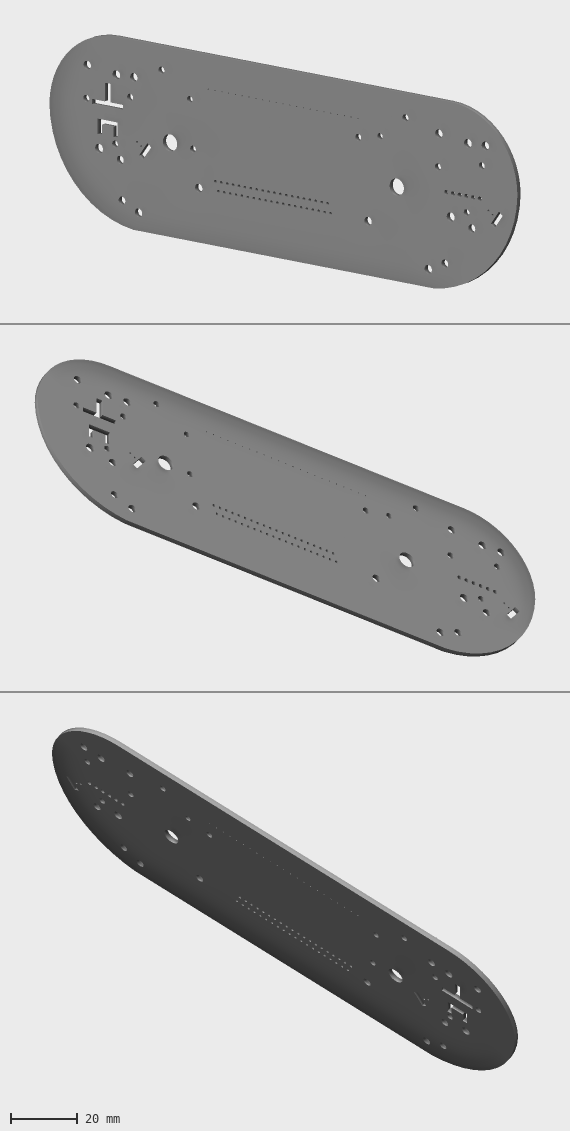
import cadquery as cq

LENGTH = 174.67
HEIGHT = 59.0
THICKNESS = 1.6
TOP_CORNER_RADIUS = 25.0
BOTTOM_CORNER_RADIUS = 35.0
BOTTOM_FLAT_LENGTH = 112.0

MIRRORED_HOLES = [
    (45.53, 21.8, 2.2),
    (42.3, -0.25, 5.3),
    (31.6, -12.6, 2.7),
    (60.25, -21.15, 2.5),
    (54.05, -23.9, 2.7),
]

SINGLE_HOLES = [
    (-34.95, 14.5, 2.0),
    (36.05, 14.5, 2.0),
    (27.95, 12.85, 2.2),
    (-33.75, -0.8, 2.1),
]

END_GROUP_OFFSET = 65.6
END_GROUP_HOLES = [
    (-7.6, 18.9, 2.7),
    (3.25, 17.65, 2.8),
    (9.75, 17.9, 2.7),
    (8.4, 11.5, 2.2),
    (-7.95, 8.5, 2.2),
    (2.75, -3.95, 2.1),
    (-3.2, -6.3, 2.9),
    (4.7, -8.6, 2.6),
]

SLOT_CENTER = (14.0, -4.4)
SLOT_LENGTH = 5.3
SLOT_WIDTH = 1.8
SLOT_ANGLE = 54.5
PIN_DIAMETER = 0.7
PIN_CENTERS = [(10.95, -2.05), (12.5, -3.1)]

TEE_BAR_LENGTH = 11.6
TEE_BAR_BOTTOM = 7.1
TEE_BAR_TOP = 8.7
TEE_STEM_WIDTH = 2.1
TEE_STEM_TOP = 14.5

BRACKET_WIDTH = 7.4
BRACKET_BAND = 1.6
BRACKET_TOP = 2.9
BRACKET_BOTTOM = -1.9

HOLE_ROWS = [
    (-28.05, 18.7, 2.54, 23, 0.45),
    (-25.4, -9.55, 2.205, 20, 1.0),
    (-24.3, -12.45, 2.205, 20, 0.95),
    (60.75, 1.1, 2.5, 6, 1.45),
]


def front_plane():
    """XZ sketch plane on the -Y face; negative extrusion runs toward +Y, through the plate."""
    return cq.Workplane("XZ", origin=(0, -THICKNESS / 2, 0))


def make_plate():
    half_length = LENGTH / 2
    top = HEIGHT / 2
    shoulder = top - TOP_CORNER_RADIUS
    top_end = half_length - TOP_CORNER_RADIUS
    bottom_end = BOTTOM_FLAT_LENGTH / 2
    outline = (
        front_plane()
        .moveTo(-top_end, top)
        .lineTo(top_end, top)
        .radiusArc((half_length, shoulder), TOP_CORNER_RADIUS)
        .radiusArc((bottom_end, -top), BOTTOM_CORNER_RADIUS)
        .lineTo(-bottom_end, -top)
        .radiusArc((-half_length, shoulder), BOTTOM_CORNER_RADIUS)
        .radiusArc((-top_end, top), TOP_CORNER_RADIUS)
        .close()
    )
    return outline.extrude(-THICKNESS)


def round_cutter(x, z, diameter):
    return front_plane().center(x, z).circle(diameter / 2).extrude(-THICKNESS)


def box_cutter(x, bottom, top, width):
    return front_plane().center(x, (bottom + top) / 2).rect(width, top - bottom).extrude(-THICKNESS)


def mirrored_cutters():
    return [round_cutter(side * x, z, d) for x, z, d in MIRRORED_HOLES for side in (-1, 1)]


def single_cutters():
    return [round_cutter(x, z, d) for x, z, d in SINGLE_HOLES]


def row_cutters():
    cutters = []
    for first_x, z, pitch, count, diameter in HOLE_ROWS:
        for i in range(count):
            cutters.append(round_cutter(first_x + i * pitch, z, diameter))
    return cutters


def end_group_cutters(center_x):
    cutters = [round_cutter(center_x + x, z, d) for x, z, d in END_GROUP_HOLES]
    cutters += [round_cutter(center_x + x, z, PIN_DIAMETER) for x, z in PIN_CENTERS]
    slot = (
        front_plane()
        .center(center_x + SLOT_CENTER[0], SLOT_CENTER[1])
        .transformed(rotate=(0, 0, SLOT_ANGLE))
        .rect(SLOT_LENGTH, SLOT_WIDTH)
        .extrude(-THICKNESS)
    )
    return cutters + [slot]


def tee_cutters(center_x):
    return [
        box_cutter(center_x, TEE_BAR_BOTTOM, TEE_BAR_TOP, TEE_BAR_LENGTH),
        box_cutter(center_x, TEE_BAR_BOTTOM, TEE_STEM_TOP, TEE_STEM_WIDTH),
    ]


def bracket_cutters(center_x):
    leg_offset = (BRACKET_WIDTH - BRACKET_BAND) / 2
    return [
        box_cutter(center_x, BRACKET_TOP - BRACKET_BAND, BRACKET_TOP, BRACKET_WIDTH),
        box_cutter(center_x - leg_offset, BRACKET_BOTTOM, BRACKET_TOP, BRACKET_BAND),
        box_cutter(center_x + leg_offset, BRACKET_BOTTOM, BRACKET_TOP, BRACKET_BAND),
    ]


cutters = mirrored_cutters() + single_cutters() + row_cutters()
cutters += end_group_cutters(-END_GROUP_OFFSET) + end_group_cutters(END_GROUP_OFFSET)
cutters += tee_cutters(-END_GROUP_OFFSET) + bracket_cutters(-END_GROUP_OFFSET)

plate = make_plate().val()
result = cq.Workplane(plate.cut(*[cutter.val() for cutter in cutters]))